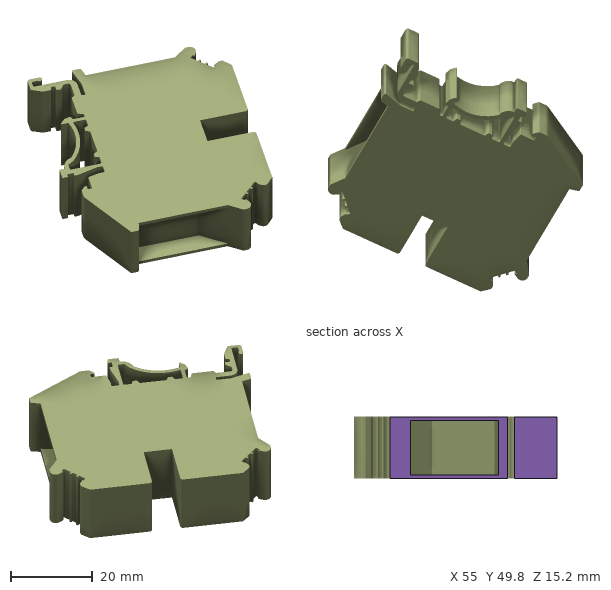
import cadquery as cq
import math

length = 55.0
height = 49.8
thickness = 15.2

half_length = length / 2
wall_x = 25.1
small_round = 0.35

ear_root_y = 36.85
ear_slope_y = 40.2
ear_top_y = 42.45
wing_root_y = 14.25
wing_top_y = 13.65
wire_slot_half_width = 3.5
wire_slot_floor_y = 37.5
wire_slot_round = 0.65
marker_seat_low = (23.9, 40.6)
marker_seat_high = (19.4, 45.2)
marker_rib_width = 0.5
marker_rib_height = 0.6
marker_rib_places = (0.36, 0.67)

cheek_thickness = 1.0
recess_floor_x = 20.6

ceiling_y = 10.55
bead_depth = 1.1
bead_width = 1.05
bead_inner_flare = 0.55
bead_outer_flare = 0.45
bead_offset = 4.4
bead_round = 0.2
window_left_x = -11.05
window_right_x = 3.85
window_floor_y = 2.55
left_post_outer_x = -12.0
right_post_outer_x = 4.8
elbow_y = 1.4
post_overlap = 0.55
foot_small_round = 0.2
window_middle_x = (window_left_x + window_right_x) / 2

arch_middle = (-7.4, -4.45)
arch_inner_radius = 11.15
arch_thickness = 1.0
arch_inner_end_x = 0.2
arch_outer_end_x = 1.15


def rounded_prism(corners, depth):
    """Extrude a closed polygon centred on Z = 0; a corner is (x, y) or (x, y, radius)."""
    path = None
    count = len(corners)
    for index, corner in enumerate(corners):
        here = cq.Vector(corner[0], corner[1])
        radius = corner[2] if len(corner) == 3 else 0
        before = cq.Vector(*corners[index - 1][:2])
        after = cq.Vector(*corners[(index + 1) % count][:2])
        back = (before - here).normalized()
        ahead = (after - here).normalized()
        half_angle = back.getAngle(ahead) / 2
        setback = radius / math.tan(half_angle)
        start = here + back * setback
        path = path.lineTo(start.x, start.y) if path else cq.Workplane("XY").moveTo(start.x, start.y)
        if radius:
            to_arc = radius / math.sin(half_angle) - radius
            middle = here + (back + ahead).normalized() * to_arc
            end = here + ahead * setback
            path = path.threePointArc((middle.x, middle.y), (end.x, end.y))
    return path.close().extrude(depth / 2, both=True)


def mirrored(corners):
    """Reflect corners across X = 0 and reverse their order."""
    return [(-corner[0], *corner[1:]) for corner in reversed(corners)]


def housing():
    """Main block with ears, wings, marker seats, wire slot and the hooked spring foot."""
    upper_right = [
        (wire_slot_half_width, wire_slot_floor_y),
        (wire_slot_half_width, height, wire_slot_round),
        (19.05, height),
        (21.05, 47.9, 0.8),
        (21.05, 46.95, 0.55),
        (20.25, 45.65),
        (20.1, 45.85),
        marker_seat_high,
        marker_seat_low,
        (24.65, 41.35),
        (24.2, 41.65),
        (25.65, ear_top_y, 1.1),
        (half_length, ear_top_y, 1.45),
        (half_length, ear_slope_y, 0.55),
        (wall_x, ear_root_y),
        (wall_x, wing_root_y),
        (half_length, wing_top_y, 0.45),
    ]
    right_claw = [
        (half_length, 11.7),
        (13.35, 3.45, 1.9),
        (11.1, 3.45, 0.65),
        (9.9, 4.75, 0.3),
        (10.05, 5.05, 0.15),
        (11.1, 5.05),
        (11.1, 6.15),
        (7.35, 6.15, 0.15),
        (6.75, 9.1),
        (6.75, ceiling_y, small_round),
    ]
    roof = [
        (-12.85, ceiling_y, 0.55),
        (-13.5, 9.0, 0.15),
        (-18.85, 9.0),
        (-19.35, 9.9, 0.3),
    ]
    spring_foot = [
        (-23.55, 9.9, 0.65),
        (-23.55, 8.25),
        (-22.2, 7.2),
        (-22.2, 6.1),
        (-23.55, 6.1),
        (-23.55, 5.05),
        (-22.6, 4.85),
        (-22.6, 2.75, 2.2),
        (-23.9, 0, 0.45),
        (-27.35, 0, 0.65),
        (-27.35, 3.65, 0.55),
        (-26.2, 3.65, 0.55),
        (-26.2, 2.65),
        (-26.4, 2.55),
        (-26.4, 0.9, 0.45),
        (-24.75, 0.9, 0.35),
        (-24.75, 11.55, 2.1),
        (-19.0, 11.55, 0.3),
        (-19.0, 12.6, 0.3),
        (-22.55, 12.6, 1.1),
        (-half_length, 11.2, 0.4),
    ]
    outline = upper_right + right_claw + roof + spring_foot + mirrored(upper_right)
    return rounded_prism(outline, thickness)


def marker_ribs():
    """Two small ribs along each sloping marker seat."""
    ribs = cq.Workplane("XY")
    run = marker_seat_high[0] - marker_seat_low[0]
    rise = marker_seat_high[1] - marker_seat_low[1]
    slope = math.degrees(math.atan2(rise, run))
    for side in (-1, 1):
        for place in marker_rib_places:
            x = side * (marker_seat_low[0] + place * run)
            y = marker_seat_low[1] + place * rise
            rib = cq.Workplane("XY").box(marker_rib_width, 2 * marker_rib_height, thickness)
            rib = rib.rotate((0, 0, 0), (0, 0, 1), side * slope)
            ribs = ribs.add(rib.translate((x, y, 0)))
    return ribs.combine()


def end_recess():
    """Pocket in the +X end, carrying the ear and wing flanks inward between the cheeks."""
    inset = wall_x - recess_floor_x
    reach = half_length - wall_x
    ear_gradient = (ear_slope_y - ear_root_y) / reach
    wing_gradient = (wing_root_y - wing_top_y) / reach
    corners = [
        (wall_x, ear_root_y),
        (recess_floor_x, ear_root_y - inset * ear_gradient),
        (recess_floor_x, wing_root_y + inset * wing_gradient),
        (wall_x, wing_root_y),
    ]
    return rounded_prism(corners, thickness - 2 * cheek_thickness)


def beads():
    """Two mirrored beads hanging from the roof of the latch window."""
    inner = bead_width / 2 + bead_inner_flare
    outer = bead_width / 2 + bead_outer_flare
    tip_y = ceiling_y - bead_depth
    pair = cq.Workplane("XY")
    for side in (-1, 1):
        middle_x = window_middle_x + side * bead_offset
        corners = [
            (middle_x - side * inner, ceiling_y),
            (middle_x - side * bead_width / 2, tip_y, bead_round),
            (middle_x + side * bead_width / 2, tip_y, bead_round),
            (middle_x + side * outer, ceiling_y),
        ]
        pair = pair.add(rounded_prism(corners, thickness))
    return pair.combine()


def left_post():
    """Thin post ending in a barbed catch."""
    return rounded_prism([
        (left_post_outer_x, ceiling_y + post_overlap),
        (left_post_outer_x, 7.5),
        (-13.0, 7.05, 0.3),
        (-12.55, 5.45),
        (-11.45, 4.35, 0.1),
        (window_left_x, 4.35, 0.1),
        (window_left_x, ceiling_y + post_overlap),
    ], thickness)


def right_post():
    """Tapered post ending in a notched foot."""
    return rounded_prism([
        (window_right_x, ceiling_y + post_overlap),
        (window_right_x, elbow_y),
        (3.15, elbow_y, foot_small_round),
        (3.15, 0, foot_small_round),
        (6.0, 0, foot_small_round),
        (6.0, 1.45),
        (5.1, 1.45),
        (5.1, 3.1),
        (6.0, 3.1),
        (6.0, 3.95),
        (right_post_outer_x, 9.1),
        (right_post_outer_x, ceiling_y + post_overlap),
    ], thickness)


def arch_point(radius, x):
    """Point at the given X on the upper side of a circle about the arch middle."""
    return (x, arch_middle[1] + math.sqrt(radius**2 - (x - arch_middle[0])**2))


def arch():
    """Curved strip joining the two posts and closing the latch window."""
    outer_radius = arch_inner_radius + arch_thickness
    return (
        cq.Workplane("XY")
        .moveTo(*arch_point(outer_radius, window_left_x))
        .threePointArc(
            arch_point(outer_radius, arch_middle[0]),
            arch_point(outer_radius, arch_outer_end_x),
        )
        .lineTo(2.2, window_floor_y)
        .lineTo(window_right_x, window_floor_y)
        .lineTo(window_right_x, elbow_y)
        .lineTo(2.6, elbow_y)
        .threePointArc((1.2, 2.05), (arch_inner_end_x, 3.35))
        .lineTo(*arch_point(arch_inner_radius, arch_inner_end_x))
        .threePointArc(
            arch_point(arch_inner_radius, arch_middle[0]),
            arch_point(arch_inner_radius, window_left_x),
        )
        .close()
        .extrude(thickness / 2, both=True)
    )


def fillet_corners(solid, places, radius):
    """Round the upright edges nearest to the given X-Y places."""
    for x, y in places:
        solid = solid.edges("|Z").edges(cq.NearestToPointSelector((x, y, 0))).fillet(radius)
    return solid


recess = end_recess()
result = housing().union(marker_ribs()).union(beads())
result = result.union(left_post()).union(right_post()).union(arch())
result = result.cut(recess).cut(recess.mirror("YZ"))
latch_corners = [
    (left_post_outer_x, ceiling_y),
    (right_post_outer_x, ceiling_y),
    (window_left_x, ceiling_y),
    (window_right_x, ceiling_y),
    (window_right_x, window_floor_y),
    arch_point(arch_inner_radius + arch_thickness, window_left_x),
    arch_point(arch_inner_radius, window_left_x),
]
result = fillet_corners(result, latch_corners, small_round)